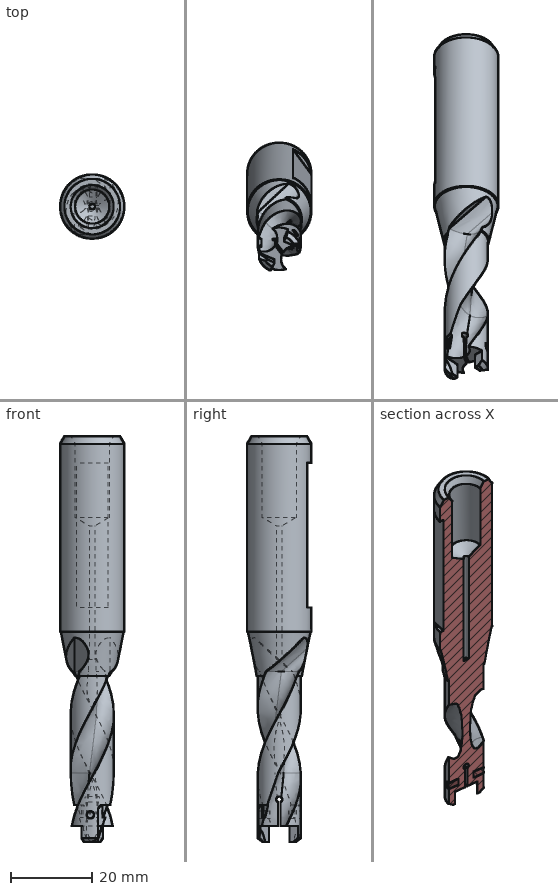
import cadquery as cq
import math

LENGTH = 99.7

SHANK_RADIUS = 15.8 / 2
SHANK_BOTTOM_Z = 51.7
SHANK_CHAMFER_HEIGHT = 1.9
SHANK_CHAMFER_WIDTH = 1.1
SHANK_BOTTOM_CHAMFER = 0.2

NECK_BOTTOM_Z = 40.8
NECK_BOTTOM_RADIUS = 5.6

DRILL_RADIUS = 10.7 / 2
TIP_CHAMFER_HEIGHT = 1.0
TIP_CHAMFER_WIDTH = 1.3

CLAMP_FLAT_DEPTH = 1.0
CLAMP_FLAT_BOTTOM_Z = 57.6
CLAMP_FLAT_TOP_Z = 93.1

SOCKET_RADIUS = 4.2
SOCKET_MOUTH_RADIUS = 5.3
SOCKET_MOUTH_DEPTH = 1.8
SOCKET_DEPTH = 19.9
SOCKET_POINT_ANGLE = 118.0
COOLANT_RADIUS = 0.7
COOLANT_BOTTOM_Z = 44.9

FLUTE_COUNT = 2
FLUTE_PITCH = 61.4
FLUTE_CENTER_Z = 39.9
FLUTE_HALF_ANGLE = 48.4
FLUTE_CORNER_RADIUS = 5.5
FLUTE_BOTTOM_Z = -1.0
FLUTE_ROOT_RADIUS = 1.3
FLUTE_ROOT_ANGLE = 12.0
FLUTE_REACH = 8.0
FLUTE_TOP_Z = 41.9
FLUTE_NARROWING_Z = 16.9
NARROWING_ANGLE = 24.0
NARROWING_STEPS = 6
RUNOUT_HEIGHT = 14.0
RUNOUT_SLOPE = 1.12

SEAT_Z = 3.9
SEAT_WIDTH = 5.8
SEAT_ANGLE = -30.0
SLIT_WIDTH = 0.6
SLIT_HOLE_RADIUS = 0.7
SLIT_HOLE_Z = 10.5

RELIEF_START_X = 1.4
RELIEF_FACE_ANGLE = 38.0
RELIEF_TOP_Z = 9.1
RELIEF_CORNER = 0.9
POCKET_START = 1.5
POCKET_BOTTOM_Z = 6.1
POCKET_DEPTH = 0.5

PIN_RADIUS = 0.9
PIN_LENGTH = 3.0
PIN_Z = 6.7
PIN_ANGLE = 5.0

TURNS = [360 * i / FLUTE_COUNT for i in range(FLUTE_COUNT)]


def revolve_profile(points):
    """Solid of revolution about Z from (radius, height) points."""
    return cq.Workplane("XZ").polyline(points).close().revolve(360, (0, 0, 0), (0, 1, 0))


def polar(radius, degrees):
    """X and Y of a point from its distance to the axis and its angle from +X."""
    angle = math.radians(degrees)
    return radius * math.cos(angle), radius * math.sin(angle)


def make_blank():
    """Shank, neck cone and drill cylinder without any cuts."""
    return revolve_profile([
        (0, 0),
        (DRILL_RADIUS - TIP_CHAMFER_WIDTH, 0),
        (DRILL_RADIUS, TIP_CHAMFER_HEIGHT),
        (DRILL_RADIUS, NECK_BOTTOM_Z),
        (NECK_BOTTOM_RADIUS, NECK_BOTTOM_Z),
        (SHANK_RADIUS - SHANK_BOTTOM_CHAMFER, SHANK_BOTTOM_Z - SHANK_BOTTOM_CHAMFER),
        (SHANK_RADIUS, SHANK_BOTTOM_Z),
        (SHANK_RADIUS, LENGTH - SHANK_CHAMFER_HEIGHT),
        (SHANK_RADIUS - SHANK_CHAMFER_WIDTH, LENGTH),
        (0, LENGTH),
    ])


def make_socket():
    """Countersunk bore in the shank end with a coolant hole below its conical bottom."""
    bore_bottom_z = LENGTH - SOCKET_DEPTH
    cone_height = SOCKET_RADIUS / math.tan(math.radians(SOCKET_POINT_ANGLE / 2))
    bore = revolve_profile([
        (0, LENGTH),
        (SOCKET_MOUTH_RADIUS, LENGTH),
        (SOCKET_RADIUS, LENGTH - SOCKET_MOUTH_DEPTH),
        (SOCKET_RADIUS, bore_bottom_z),
        (0, bore_bottom_z - cone_height),
    ])
    coolant = (
        cq.Workplane("XY", origin=(0, 0, COOLANT_BOTTOM_Z))
        .circle(COOLANT_RADIUS)
        .extrude(bore_bottom_z - COOLANT_BOTTOM_Z)
    )
    return bore.union(coolant)


def make_clamp_flat():
    """Block that cuts the flat on the +Y side of the shank."""
    height = CLAMP_FLAT_TOP_Z - CLAMP_FLAT_BOTTOM_Z
    block = cq.Workplane("XY").box(2 * SHANK_RADIUS, SHANK_RADIUS, height, centered=(True, False, False))
    return block.translate((0, SHANK_RADIUS - CLAMP_FLAT_DEPTH, CLAMP_FLAT_BOTTOM_Z))


def flute_outline(z, facing, shallow_half_angle=FLUTE_HALF_ANGLE):
    """Flute cross-section at height z; its middle points along the angle `facing`."""
    def at(radius, degrees):
        return cq.Vector(*polar(radius, facing + degrees), z)

    root = at(FLUTE_ROOT_RADIUS, FLUTE_ROOT_ANGLE)
    along_root = at(1, FLUTE_ROOT_ANGLE + 90) - at(0, 0)
    shallow_corner = at(FLUTE_CORNER_RADIUS, -shallow_half_angle)
    steep_corner = at(FLUTE_CORNER_RADIUS, FLUTE_HALF_ANGLE)
    outward = at(FLUTE_REACH, 0) - at(0, 0)
    shallow_end = shallow_corner + outward
    steep_end = steep_corner + outward
    return cq.Wire.assembleEdges([
        cq.Edge.makeTangentArc(root, along_root, steep_corner),
        cq.Edge.makeLine(steep_corner, steep_end),
        cq.Edge.makeLine(steep_end, shallow_end),
        cq.Edge.makeLine(shallow_end, shallow_corner),
        cq.Edge.makeTangentArc(root, along_root * -1, shallow_corner),
    ])


def facing_at(z):
    """Direction that the first flute faces at height z, in degrees from +X."""
    return 360 * (z - FLUTE_CENTER_Z) / FLUTE_PITCH


def make_upper_flute(turn):
    """Constant-width part of one flute."""
    height = FLUTE_TOP_Z - FLUTE_NARROWING_Z
    return cq.Workplane(cq.Solid.extrudeLinearWithRotation(
        flute_outline(FLUTE_NARROWING_Z, facing_at(FLUTE_NARROWING_Z) + turn), [],
        cq.Vector(0, 0, FLUTE_NARROWING_Z), cq.Vector(0, 0, height), 360 * height / FLUTE_PITCH,
    ))


def make_lower_flute(turn):
    """Part of one flute that narrows towards the tip, lofted through evenly spaced outlines."""
    outlines = []
    for step in range(NARROWING_STEPS + 1):
        z = FLUTE_BOTTOM_Z + (FLUTE_NARROWING_Z - FLUTE_BOTTOM_Z) * step / NARROWING_STEPS
        narrowing = NARROWING_ANGLE * math.sin(math.pi / 2 * (1 - z / FLUTE_NARROWING_Z))
        outlines.append(flute_outline(z, facing_at(z) + turn, FLUTE_HALF_ANGLE - narrowing))
    return cq.Workplane(cq.Solid.makeLoft(outlines))


def make_runout(turn):
    """Cutter that carries one flute on from the top of its twist, straight and out through the neck."""
    facing = facing_at(FLUTE_TOP_Z) + turn
    sideways = polar(RUNOUT_SLOPE * RUNOUT_HEIGHT, turn + 90)
    return cq.Workplane(cq.Solid.extrudeLinear(
        flute_outline(FLUTE_TOP_Z, facing), [], cq.Vector(*sideways, RUNOUT_HEIGHT)
    ))


def make_insert_seat():
    """Seat at the tip that leaves two prongs, each with one drive face on the middle plane of the seat."""
    reach = 2 * DRILL_RADIUS
    half_width = SEAT_WIDTH / 2
    return (
        cq.Workplane("XY")
        .polyline([
            (0, -half_width),
            (reach, -half_width),
            (reach, reach),
            (0, reach),
            (0, half_width),
            (-reach, half_width),
            (-reach, -reach),
            (0, -reach),
        ])
        .close()
        .extrude(SEAT_Z)
        .rotate((0, 0, 0), (0, 0, 1), SEAT_ANGLE)
    )


def make_slit():
    """Clamping slit above the seat that ends in a round hole, both along X."""
    slit = cq.Workplane("XY").box(
        2 * SHANK_RADIUS, SLIT_WIDTH, SLIT_HOLE_Z, centered=(True, True, False)
    )
    hole = (
        cq.Workplane("YZ")
        .center(0, SLIT_HOLE_Z)
        .circle(SLIT_HOLE_RADIUS)
        .extrude(SHANK_RADIUS, both=True)
    )
    return slit.union(hole)


def relief_plane():
    """Plane of the relief flat on the -Y land: x runs along the flat from its start line, z outwards."""
    start_y = -math.sqrt(DRILL_RADIUS ** 2 - RELIEF_START_X ** 2)
    along = polar(1, RELIEF_FACE_ANGLE)
    outward = polar(1, RELIEF_FACE_ANGLE - 90)
    return cq.Plane(origin=(RELIEF_START_X, start_y, 0), xDir=(*along, 0), normal=(*outward, 0))


def make_relief(turn):
    """Flat relief at the trailing side of one land, with a shallow pocket in its upper end."""
    flat = (
        cq.Workplane(relief_plane())
        .polyline([
            (0, 0),
            (DRILL_RADIUS, 0),
            (DRILL_RADIUS, RELIEF_TOP_Z),
            (RELIEF_CORNER, RELIEF_TOP_Z),
            (0, RELIEF_TOP_Z - RELIEF_CORNER),
        ])
        .close()
        .extrude(DRILL_RADIUS)
    )
    pocket = (
        cq.Workplane(relief_plane())
        .moveTo(POCKET_START, POCKET_BOTTOM_Z)
        .lineTo(DRILL_RADIUS, POCKET_BOTTOM_Z)
        .lineTo(DRILL_RADIUS, RELIEF_TOP_Z)
        .lineTo(POCKET_START, RELIEF_TOP_Z)
        .close()
        .extrude(-POCKET_DEPTH)
    )
    return flat.union(pocket).rotate((0, 0, 0), (0, 0, 1), turn)


def make_pin(turn):
    """Flat-ended pin in one land, pointing at the drill axis, with its end level with the land."""
    outward = polar(1, -90 - PIN_ANGLE + turn)
    end = polar(DRILL_RADIUS, -90 - PIN_ANGLE + turn)
    plane = cq.Plane(origin=(*end, PIN_Z), xDir=(0, 0, 1), normal=(*outward, 0))
    return cq.Workplane(plane).circle(PIN_RADIUS).extrude(-PIN_LENGTH)


def make_drill_body(pins):
    """Shank, neck and fluted drill in one solid, with a hole for each pin."""
    body = make_blank().cut(make_socket()).cut(make_clamp_flat())
    for turn in TURNS:
        body = body.cut(make_lower_flute(turn)).cut(make_upper_flute(turn)).cut(make_runout(turn))
    body = body.cut(make_insert_seat()).cut(make_slit())
    for turn in TURNS:
        body = body.cut(make_relief(turn))
    for pin in pins:
        body = body.cut(pin)
    return body


pins = [make_pin(turn) for turn in TURNS]
drill_body = make_drill_body(pins)

result = cq.Compound.makeCompound([drill_body.val(), *[pin.val() for pin in pins]])